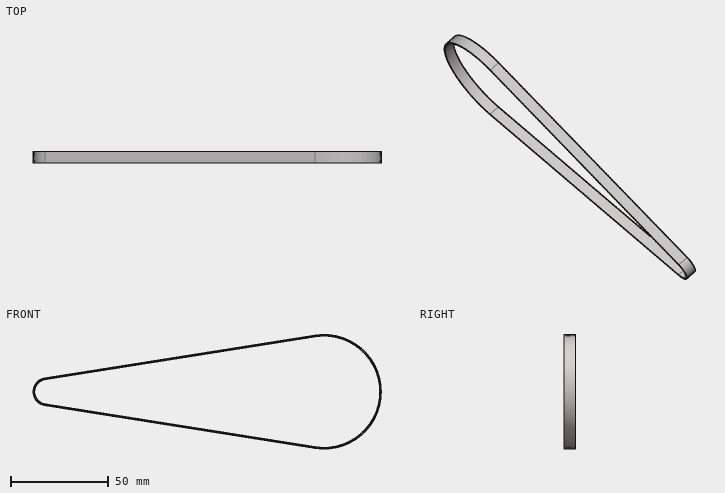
import cadquery as cq
import math

OVERALL_LENGTH = 179.08
BELT_WIDTH = 6.0
BELT_THICKNESS = 0.8
LARGE_RADIUS = 29.45
SMALL_RADIUS = 7.15

CENTER_DISTANCE = OVERALL_LENGTH - LARGE_RADIUS - SMALL_RADIUS
RUN_ANGLE = math.asin((LARGE_RADIUS - SMALL_RADIUS) / CENTER_DISTANCE)


def loop_solid(inset):
    """Solid filling the belt loop, drawn inward from the outer face by inset."""
    large = LARGE_RADIUS - inset
    small = SMALL_RADIUS - inset
    tangent_x = -math.sin(RUN_ANGLE)
    tangent_z = math.cos(RUN_ANGLE)
    small_x = -CENTER_DISTANCE + small * tangent_x
    small_z = small * tangent_z
    large_x = large * tangent_x
    large_z = large * tangent_z
    return (
        cq.Workplane("XZ")
        .moveTo(small_x, small_z)
        .lineTo(large_x, large_z)
        .threePointArc((large, 0), (large_x, -large_z))
        .lineTo(small_x, -small_z)
        .threePointArc((-CENTER_DISTANCE - small, 0), (small_x, small_z))
        .close()
        .extrude(BELT_WIDTH / 2, both=True)
    )


result = loop_solid(0).cut(loop_solid(BELT_THICKNESS))